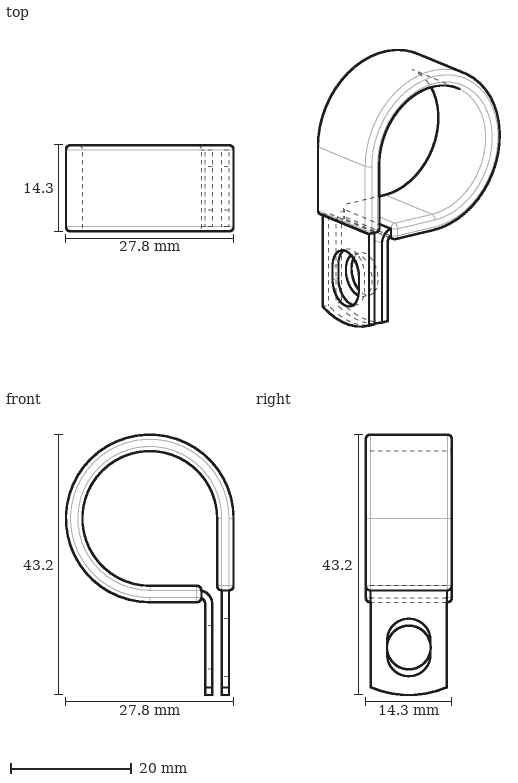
import cadquery as cq
import math

outer_radius = 13.9
total_height = 43.2
cushion_width = 14.3
strap_width = 12.65
cover = 0.78
strap_thickness = 1.2
leg_end_z = -11.92
foot_end_x = 8.55
tab_inner_x = 9.15
bend_radius = 1.05
hole_diameter = 7.2
slot_height = 9.55
hole_to_tip = 7.9
tip_rise = 1.3

cushion_thickness = strap_thickness + 2 * cover
strap_outer_radius = outer_radius - cover
strap_inner_radius = strap_outer_radius - strap_thickness
tip_z = outer_radius - total_height
bend_outer_radius = bend_radius + strap_thickness
bend_center_z = -strap_inner_radius - bend_outer_radius
bend_center_x = tab_inner_x - bend_radius
tab_outer_x = tab_inner_x + strap_thickness
diagonal = math.sqrt(0.5)


def make_cushion():
    """Three-quarter ring with a vertical and a horizontal leg, all edges rounded."""
    inner_radius = outer_radius - cushion_thickness
    profile = (
        cq.Workplane("XZ")
        .moveTo(outer_radius, leg_end_z)
        .lineTo(outer_radius, 0)
        .threePointArc((-outer_radius * diagonal, outer_radius * diagonal), (0, -outer_radius))
        .lineTo(foot_end_x, -outer_radius)
        .lineTo(foot_end_x, -inner_radius)
        .lineTo(0, -inner_radius)
        .threePointArc((-inner_radius * diagonal, inner_radius * diagonal), (inner_radius, 0))
        .lineTo(inner_radius, leg_end_z)
        .close()
    )
    body = profile.extrude(cushion_width / 2, both=True)
    side_edges = body.faces("<Y or >Y").edges()
    end_edges = body.edges(
        cq.selectors.BoxSelector(
            (foot_end_x - cover, -cushion_width, -outer_radius - cover),
            (outer_radius + cover, cushion_width, leg_end_z + cushion_thickness),
        )
    ).edges("|Y")
    rounded_edges = side_edges.add(end_edges)
    return rounded_edges.fillet(cover)


def make_straight_tab():
    """Strap end running straight down out of the vertical leg."""
    return (
        cq.Workplane("XZ")
        .moveTo(strap_inner_radius, tip_z)
        .lineTo(strap_outer_radius, tip_z)
        .lineTo(strap_outer_radius, 0)
        .lineTo(strap_inner_radius, 0)
        .close()
        .extrude(strap_width / 2, both=True)
    )


def make_bent_tab():
    """Strap end leaving the horizontal leg and bending down beside the straight tab."""
    outer_mid = bend_outer_radius * diagonal
    inner_mid = bend_radius * diagonal
    bend_start = (bend_center_x, -strap_outer_radius)
    return (
        cq.Workplane("XZ")
        .moveTo(0, -strap_inner_radius)
        .lineTo(bend_center_x, -strap_inner_radius)
        .threePointArc((bend_center_x + outer_mid, bend_center_z + outer_mid), (tab_outer_x, bend_center_z))
        .lineTo(tab_outer_x, tip_z)
        .lineTo(tab_inner_x, tip_z)
        .lineTo(tab_inner_x, bend_center_z)
        .threePointArc((bend_center_x + inner_mid, bend_center_z + inner_mid), bend_start)
        .lineTo(0, -strap_outer_radius)
        .close()
        .extrude(strap_width / 2, both=True)
    )


def make_tab_outline():
    """Solid along X that both tabs are trimmed to, with the arc tip."""
    half_width = strap_width / 2
    return (
        cq.Workplane("YZ")
        .moveTo(-half_width, 0)
        .lineTo(-half_width, tip_z + tip_rise)
        .threePointArc((0, tip_z), (half_width, tip_z + tip_rise))
        .lineTo(half_width, 0)
        .close()
        .extrude(outer_radius)
    )


def make_bolt_opening(height):
    """Cutter along X: round at the bolt diameter, or a vertical slot if taller."""
    opening = cq.Workplane("YZ").center(0, tip_z + hole_to_tip)
    if height > hole_diameter:
        opening = opening.slot2D(height, hole_diameter, 90)
    else:
        opening = opening.circle(hole_diameter / 2)
    return opening.extrude(outer_radius)


tab_outline = make_tab_outline()
straight_tab = make_straight_tab().intersect(tab_outline).cut(make_bolt_opening(slot_height))
bent_tab = make_bent_tab().intersect(tab_outline).cut(make_bolt_opening(hole_diameter))
result = make_cushion().union(straight_tab).union(bent_tab)